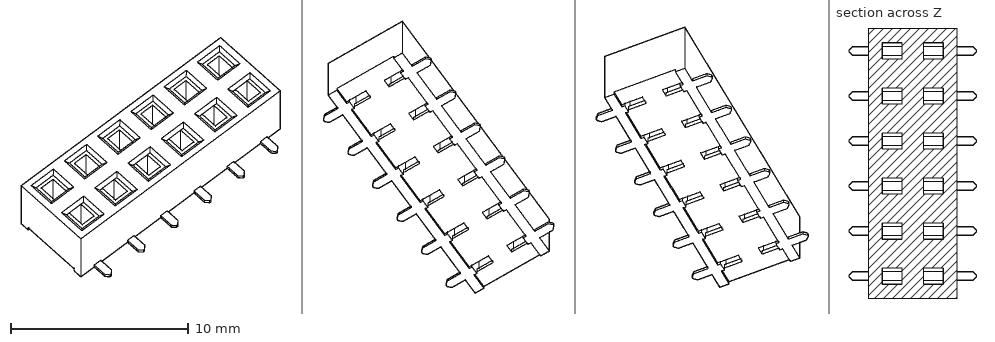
import cadquery as cq

pitch = 2.54
row_count = 6
column_x = pitch / 2

body_width = 5.0
body_length = row_count * pitch
body_height = 3.7
standoff_height = 0.2
recess_width = 3.82

mouth_size = 1.7
throat_size = 1.3
funnel_depth = (mouth_size - throat_size) / 2
ledge_width = 0.2
cavity_floor_z = 0.5

tail_span = 7.2
tail_width = 0.5
tail_thickness = standoff_height
tip_chamfer = 0.2

throat_z = body_height - funnel_depth
cavity_outer_x = column_x + throat_size / 2 - ledge_width
cavity_inner_x = column_x - throat_size / 2
cavity_width_x = cavity_outer_x - cavity_inner_x
cavity_width_y = throat_size - 2 * ledge_width
cavity_center_x = (cavity_outer_x + cavity_inner_x) / 2


def make_housing():
    """Block standing on two full-length feet, with a recess between them."""
    block = cq.Workplane("XY").box(body_width, body_length, body_height, centered=(True, True, False))
    recess = cq.Workplane("XY").box(recess_width, body_length, standoff_height, centered=(True, True, False))
    return block.cut(recess)


def make_socket(side, y):
    """Tapered mouth, ledged cavity and floor slot of one socket; side is -1 or +1 along X."""
    funnel = (
        cq.Workplane("XY", origin=(side * column_x, y, throat_z))
        .rect(throat_size, throat_size)
        .workplane(offset=funnel_depth)
        .rect(mouth_size, mouth_size)
        .loft(ruled=True)
    )
    cavity = (
        cq.Workplane("XY", origin=(side * cavity_center_x, y, cavity_floor_z))
        .rect(cavity_width_x, cavity_width_y)
        .extrude(throat_z - cavity_floor_z)
    )
    floor_slot = (
        cq.Workplane("XY", origin=(side * cavity_center_x, y, 0))
        .rect(cavity_width_x, tail_width)
        .extrude(cavity_floor_z)
    )
    return funnel.union(cavity).union(floor_slot)


def make_tail(side, y):
    """Flat solder tail with a pointed outer end, ending under the cavity edge."""
    tail_length = tail_span / 2 - cavity_outer_x
    tail_center_x = side * (cavity_outer_x + tail_length / 2)
    outer_edges = "|Z and >X" if side > 0 else "|Z and <X"
    return (
        cq.Workplane("XY")
        .box(tail_length, tail_width, tail_thickness, centered=(True, True, False))
        .edges(outer_edges)
        .chamfer(tip_chamfer)
        .translate((tail_center_x, y, 0))
    )


result = make_housing()
for row in range(row_count):
    row_y = (row - (row_count - 1) / 2) * pitch
    for side in (-1, 1):
        result = result.cut(make_socket(side, row_y))
        result = result.union(make_tail(side, row_y))